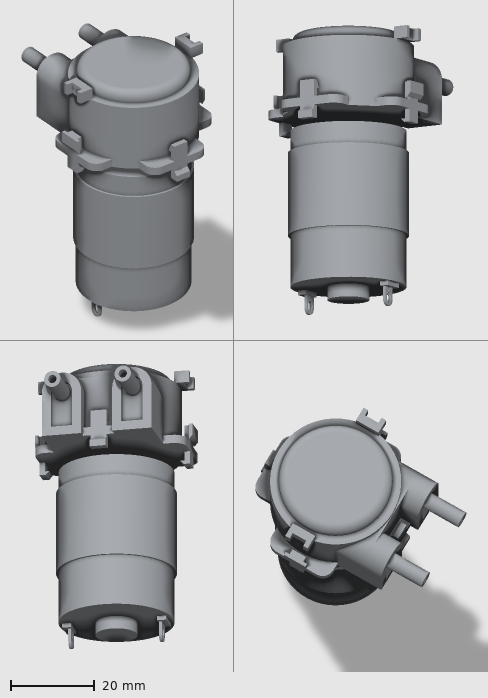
import cadquery as cq


overall_height = 67

head_radius = 15.7
head_height = 17.1
lid_radius = 13.55
lid_height = 2.95
lid_edge_radius = 2.1
head_top = head_height + lid_height

flange_reach = 18.5
flange_width = 17.0
flange_thickness = 2.1
flange_corner_radius = 2.95

port_spacing = 17.3
port_axis_height = 10.85
block_half_width = 4.8
block_face_x = -20.6
pocket_half_width = 2.6
pocket_floor_height = 2.2
pocket_depth = 1.35
nipple_tip_x = -30.0
nipple_radius = 2
nipple_bore_radius = 1.0
block_top = port_axis_height + block_half_width
pocket_back_x = block_face_x + pocket_depth

web_face_x = -15.75

clip_strip_thickness = 1.35
clip_strip_inner = flange_reach - clip_strip_thickness
clip_bottom = -3.15

side_clip_width = 3.95
side_clip_top = 6.2
side_barb_reach = 16.2
side_barb_height = 4.15
side_toe_reach = 19.5
side_toe_top = -0.75
side_toe_shoulder = -1.55
side_toe_corner_radius = 0.4

end_clip_width = 3.75
end_clip_top = 6.55
end_hook_reach = 16.1
end_hook_height = -2.3
end_pad_width = 5.9
end_pad_reach = 19.35
end_pad_shoulder = 3.75
end_pad_bottom = 2.75

catch_width = 6.2
catch_inner = 14.9
catch_notch_depth = 1.5

motor_radius = 13.9
motor_top = -3.5
motor_bottom = -41.35
boss_radius = 5.0
boss_height = 3.15

ring_radius = 14.5
ring_top = -8.8
ring_bottom = -28.9

foot_width = 5.0
foot_depth = 2.15
foot_height = 1.1
foot_offset = 11.65
lug_width = 3.0
lug_thickness = 0.75
lug_offset = 11.1
eye_half_width = 0.9
eye_half_height = 1.35
terminal_tip = head_top - overall_height
lug_arc_height = terminal_tip + lug_width / 2
eye_height = -44.95


def box(x_range, y_range, z_range):
    """Box between the given lower and upper limits on each axis."""
    corner = (x_range[0], y_range[0], z_range[0])
    size = (x_range[1] - x_range[0], y_range[1] - y_range[0], z_range[1] - z_range[0])
    return cq.Workplane("XY").box(*size, centered=False).translate(corner)


def cylinder(radius, bottom, top):
    """Cylinder on the Z axis."""
    return cq.Workplane("XY").workplane(offset=bottom).circle(radius).extrude(top - bottom)


def radial_plate(profile, width):
    """Plate of the given width centred on Y = 0, from a profile of (reach along X, Z) points."""
    return cq.Workplane("XZ").polyline(profile).close().extrude(width / 2, both=True)


def turned(body, angle):
    """Body turned about the Z axis."""
    return body.rotate((0, 0, 0), (0, 0, 1), angle)


def make_flanges():
    bar = cq.Workplane("XY").rect(2 * flange_reach, flange_width).extrude(flange_thickness)
    bar = bar.edges("|Z").fillet(flange_corner_radius)
    return bar.union(turned(bar, 90))


def make_side_clip():
    """X-side clip: inward barb above the flange, outward toe below it."""
    profile = [
        (clip_strip_inner, clip_bottom),
        (side_toe_reach, clip_bottom),
        (side_toe_reach, side_toe_shoulder),
        (flange_reach, side_toe_top),
        (flange_reach, side_clip_top),
        (clip_strip_inner, side_clip_top),
        (side_barb_reach, side_barb_height),
        (clip_strip_inner, side_barb_height),
    ]
    clip = radial_plate(profile, side_clip_width)
    inner_toe_edge = cq.selectors.NearestToPointSelector((clip_strip_inner, 0, clip_bottom))
    return clip.edges(inner_toe_edge).fillet(side_toe_corner_radius)


def make_end_clip():
    """Y-side clip, made along +X: inward hook below the flange, wide outward pad above it."""
    hook_drop = end_hook_height - clip_bottom
    strip_profile = [
        (flange_reach, clip_bottom),
        (flange_reach, end_clip_top),
        (clip_strip_inner, end_clip_top),
        (clip_strip_inner, end_hook_height),
        (end_hook_reach, end_hook_height),
        (end_hook_reach + hook_drop, clip_bottom),
    ]
    pad_profile = [
        (flange_reach, end_pad_bottom),
        (end_pad_reach, end_pad_shoulder),
        (end_pad_reach, end_clip_top),
        (flange_reach, end_clip_top),
    ]
    return radial_plate(strip_profile, end_clip_width).union(radial_plate(pad_profile, end_pad_width))


def make_catch():
    """Notched catch on the top rim, made along +X."""
    z_range = (head_height, head_top)
    block = box((catch_inner, flange_reach), (-catch_width / 2, catch_width / 2), z_range)
    notch_x = (flange_reach - catch_notch_depth, flange_reach)
    return block.cut(box(notch_x, (-end_clip_width / 2, end_clip_width / 2), z_range))


def arched_prism(half_width, bottom, x_start, x_end):
    """Upright prism along X at Y = 0, with a round top centred on the port axis."""
    return (
        cq.Workplane("YZ", origin=(x_start, 0, 0))
        .moveTo(-half_width, bottom)
        .lineTo(half_width, bottom)
        .lineTo(half_width, port_axis_height)
        .threePointArc((0, port_axis_height + half_width), (-half_width, port_axis_height))
        .close()
        .extrude(x_end - x_start)
    )


def make_port():
    """Port block with its face pocket and bored hose nipple, at Y = 0."""
    block = arched_prism(block_half_width, 0, block_face_x, 0)
    pocket = arched_prism(pocket_half_width, pocket_floor_height, block_face_x, pocket_back_x)
    nipple_start = cq.Workplane("YZ", origin=(nipple_tip_x, 0, port_axis_height))
    nipple_length = pocket_back_x - nipple_tip_x
    nipple = nipple_start.circle(nipple_radius).circle(nipple_bore_radius).extrude(nipple_length)
    return block.cut(pocket).union(nipple)


def make_head():
    lid = cylinder(lid_radius, head_height, head_top).faces(">Z").edges().fillet(lid_edge_radius)
    half_spacing = port_spacing / 2
    web = box((web_face_x, 0), (-half_spacing, half_spacing), (0, block_top))
    head = cylinder(head_radius, 0, head_height).union(lid).union(make_flanges()).union(web)
    for y in (-half_spacing, half_spacing):
        head = head.union(make_port().translate((0, y, 0)))
    for angle in (0, 180):
        head = head.union(turned(make_side_clip(), angle))
    for angle in (90, 270):
        head = head.union(turned(make_end_clip(), angle)).union(turned(make_catch(), angle))
    return head


def make_motor():
    can = cylinder(motor_radius, motor_bottom, motor_top)
    return can.union(cylinder(boss_radius, motor_bottom - boss_height, motor_bottom))


def make_flux_ring():
    """Ring fitted around the motor can."""
    return cylinder(ring_radius, ring_bottom, ring_top).cut(cylinder(motor_radius, ring_bottom, ring_top))


def make_terminal():
    """Foot under the motor with a thin eyed lug, on the +Y side."""
    foot_bottom = motor_bottom - foot_height
    foot = box(
        (-foot_width / 2, foot_width / 2),
        (foot_offset - foot_depth / 2, foot_offset + foot_depth / 2),
        (foot_bottom, motor_bottom),
    )
    lug_plane = cq.Workplane("XZ", origin=(0, lug_offset, 0))
    lug = (
        lug_plane.moveTo(-lug_width / 2, foot_bottom)
        .lineTo(-lug_width / 2, lug_arc_height)
        .threePointArc((0, terminal_tip), (lug_width / 2, lug_arc_height))
        .lineTo(lug_width / 2, foot_bottom)
        .close()
        .extrude(lug_thickness / 2, both=True)
    )
    eye = lug_plane.center(0, eye_height).ellipse(eye_half_width, eye_half_height)
    return foot.union(lug).cut(eye.extrude(lug_thickness, both=True))


head = make_head()
motor = make_motor()
flux_ring = make_flux_ring()
terminals = [turned(make_terminal(), angle) for angle in (0, 180)]

result = cq.Compound.makeCompound(
    [head.val(), motor.val(), flux_ring.val(), *[terminal.val() for terminal in terminals]]
)